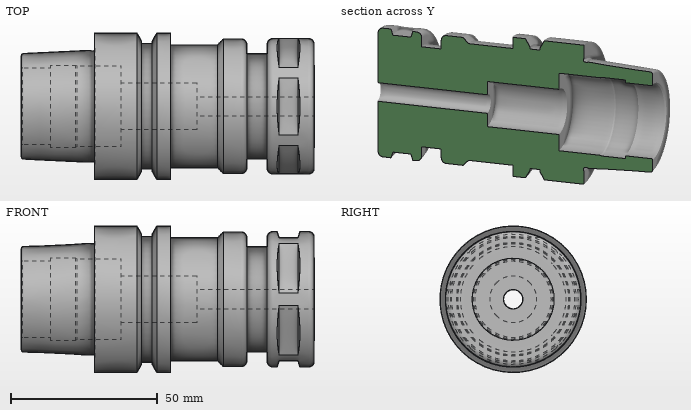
import cadquery as cq
import math

total_length = 100.0

shank_mouth_dia = 36.1
shank_root_dia = 38.2
shank_edge_radius = 1.0
taper_end_x = 22.9
rim_end_x = 23.5

neck_dia = 37.9
neck_x = 24.0
neck_end_x = 24.5
relief_floor_dia = 38.8
relief_mouth_dia = 40.8
relief_depth = 0.15

flange_dia = 50.0
flange_face_x = 25.0
groove_dia = 43.0
groove_lip_dia = 44.4
groove_start_x = 41.1
groove_end_x = 44.65
groove_slope = math.radians(30)
flange_end_x = 51.0

body_dia = 42.0
collar_dia = 46.0
collar_x = 67.0
collar_end_x = 77.0
rear_neck_dia = 36.0

nut_dia = 46.3
nut_x = 83.9
nut_end_x = 99.95
rim_radius = 2.0
collet_dia = 28.0

flat_count = 6
flat_distance = 21.0
flat_x = 91.2
flat_floor_length = 6.4
flat_wall_angle = math.radians(18)
cutter_clearance = 1.0

mouth_bore_dia = 26.0
mouth_bore_end_x = 10.0
mouth_bore_chamfer = 0.5
clamping_bore_dia = 28.0
clamping_bore_end_x = 18.5
inner_bore_dia = 27.6
inner_bore_x = 19.0
inner_bore_end_x = 34.0
screw_bore_dia = 16.0
screw_bore_end_x = 60.0
through_dia = 6.5


ARC_MID = math.sqrt(0.5)


def rounded_rear_edge(outline, end_x, radius, fillet):
    """Draw a quarter arc that rounds a rim's rear edge."""
    mid = (end_x - fillet * (1 - ARC_MID), radius - fillet * (1 - ARC_MID))
    return outline.lineTo(end_x - fillet, radius).threePointArc(mid, (end_x, radius - fillet))


def rounded_front_edge(outline, start_x, radius, fillet):
    """Draw a quarter arc that rounds a rim's front edge."""
    mid = (start_x + fillet * (1 - ARC_MID), radius - fillet * (1 - ARC_MID))
    return outline.lineTo(start_x, radius - fillet).threePointArc(mid, (start_x + fillet, radius))


def make_body():
    """Revolve the outer outline, from the shank mouth to the collet face."""
    flange_r = flange_dia / 2
    groove_lip_r = groove_lip_dia / 2
    slope_run = (flange_r - groove_lip_r) * math.tan(groove_slope)
    collar_r = collar_dia / 2
    collar_rise = collar_r - body_dia / 2
    nut_r = nut_dia / 2
    mouth_r = shank_mouth_dia / 2
    relief_x = flange_face_x + relief_depth
    relief_mid = (
        neck_end_x + (relief_x - neck_end_x) * ARC_MID,
        relief_floor_dia / 2 - (relief_floor_dia - neck_dia) / 2 * ARC_MID,
    )

    outline = cq.Workplane("XY").moveTo(0, 0)
    outline = rounded_front_edge(outline, 0, mouth_r, shank_edge_radius)
    outline = (
        outline.lineTo(taper_end_x, shank_root_dia / 2)
        .lineTo(rim_end_x, shank_root_dia / 2)
        .lineTo(neck_x, neck_dia / 2)
        .lineTo(neck_end_x, neck_dia / 2)
        .threePointArc(relief_mid, (relief_x, relief_floor_dia / 2))
        .lineTo(flange_face_x, relief_mouth_dia / 2)
        .lineTo(flange_face_x, flange_r)
        .lineTo(groove_start_x - slope_run, flange_r)
        .lineTo(groove_start_x, groove_lip_r)
        .lineTo(groove_start_x, groove_dia / 2)
        .lineTo(groove_end_x, groove_dia / 2)
        .lineTo(groove_end_x, groove_lip_r)
        .lineTo(groove_end_x + slope_run, flange_r)
        .lineTo(flange_end_x, flange_r)
        .lineTo(flange_end_x, body_dia / 2)
        .lineTo(collar_x, body_dia / 2)
        .lineTo(collar_x + collar_rise, collar_r)
    )
    outline = rounded_rear_edge(outline, collar_end_x, collar_r, rim_radius)
    outline = outline.lineTo(collar_end_x, rear_neck_dia / 2).lineTo(nut_x, rear_neck_dia / 2)
    outline = rounded_front_edge(outline, nut_x, nut_r, rim_radius)
    outline = rounded_rear_edge(outline, nut_end_x, nut_r, rim_radius)
    outline = (
        outline.lineTo(nut_end_x, collet_dia / 2)
        .lineTo(total_length, collet_dia / 2)
        .lineTo(total_length, 0)
        .close()
    )
    return outline.revolve(360, (0, 0), (1, 0))


def make_bore():
    """Revolve the stepped bore that runs through the whole part."""
    mouth_r = mouth_bore_dia / 2
    return (
        cq.Workplane("XY")
        .moveTo(0, 0)
        .lineTo(0, mouth_r + mouth_bore_chamfer)
        .lineTo(mouth_bore_chamfer, mouth_r)
        .lineTo(mouth_bore_end_x, mouth_r)
        .lineTo(mouth_bore_end_x, clamping_bore_dia / 2)
        .lineTo(clamping_bore_end_x, clamping_bore_dia / 2)
        .lineTo(inner_bore_x, inner_bore_dia / 2)
        .lineTo(inner_bore_end_x, inner_bore_dia / 2)
        .lineTo(inner_bore_end_x, screw_bore_dia / 2)
        .lineTo(screw_bore_end_x, screw_bore_dia / 2)
        .lineTo(screw_bore_end_x, through_dia / 2)
        .lineTo(total_length, through_dia / 2)
        .lineTo(total_length, 0)
        .close()
        .revolve(360, (0, 0), (1, 0))
    )


def make_flat_cutter():
    """Make the trapezoidal cutter for the wrench flat on the +Z side."""
    top_distance = nut_dia / 2 + cutter_clearance
    half_floor = flat_floor_length / 2
    half_top = half_floor + (top_distance - flat_distance) * math.tan(flat_wall_angle)
    return (
        cq.Workplane("XZ")
        .moveTo(flat_x - half_floor, flat_distance)
        .lineTo(flat_x + half_floor, flat_distance)
        .lineTo(flat_x + half_top, top_distance)
        .lineTo(flat_x - half_top, top_distance)
        .close()
        .extrude(nut_dia / 2, both=True)
    )


result = make_body().cut(make_bore())
for index in range(flat_count):
    cutter = make_flat_cutter().rotate((0, 0, 0), (1, 0, 0), index * 360 / flat_count)
    result = result.cut(cutter)